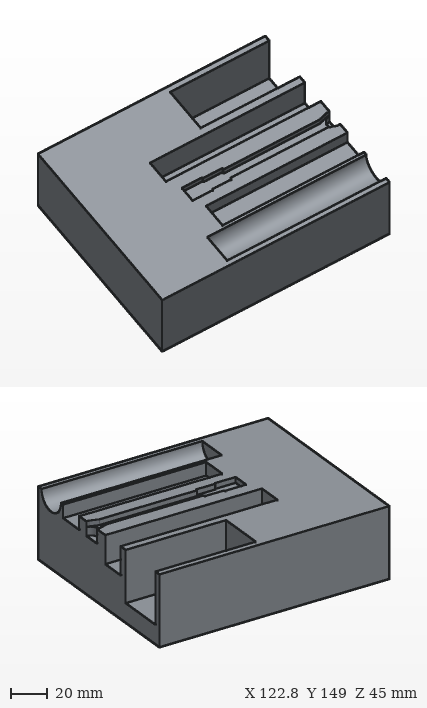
import cadquery as cq

BLOCK_WIDTH = 122.8
BLOCK_LENGTH = 149
BLOCK_HEIGHT = 45.0

WIDE_SLOT = (4.0, 30.1, 65.0, 32.8)
NARROW_SLOT = (39.2, 15.6, 101.5, 17.9)
SHALLOW_SLOT = (81.2, 16.2, 92.7, 8.3)

TROUGH_CENTER_X = 109.5
TROUGH_RADIUS = 9.8
TROUGH_LENGTH = 104.1

TOOL_CENTER_X = 68.7
TOOL_DEPTH = 3.6
SHANK_WIDTH = 7.0
COLLAR_WIDTH = 9.2
HANDLE_WIDTH = 10.6
COLLAR_START = 70.6
HANDLE_START = 83.3
TOOL_LENGTH = 96.7
FLARE_START = 1.8
FLARE_END = 7.5

HEAD_LENGTH = 4.8
HEAD_DEPTH = 9


def slot(left, width, length, depth):
    """Rectangular cutter, open at the back and top faces."""
    return cq.Workplane("XY").box(width, length, depth, centered=False).translate((left, -length, -depth))


def trough():
    """Cylindrical cutter with its axis on the top face."""
    return (
        cq.Workplane("XZ")
        .center(TROUGH_CENTER_X, 0)
        .circle(TROUGH_RADIUS)
        .extrude(TROUGH_LENGTH)
    )


def tool_slot():
    """Flared entry, straight shank, collar and handle, symmetric about the slot centre."""
    half_profile = [
        (HANDLE_WIDTH / 2, 0),
        (HANDLE_WIDTH / 2, -FLARE_START),
        (SHANK_WIDTH / 2, -FLARE_END),
        (SHANK_WIDTH / 2, -COLLAR_START),
        (COLLAR_WIDTH / 2, -COLLAR_START),
        (COLLAR_WIDTH / 2, -HANDLE_START),
        (HANDLE_WIDTH / 2, -HANDLE_START),
        (HANDLE_WIDTH / 2, -TOOL_LENGTH),
    ]
    mirrored = [(-x, y) for x, y in reversed(half_profile)]
    return (
        cq.Workplane("XY")
        .center(TOOL_CENTER_X, 0)
        .polyline(half_profile + mirrored)
        .close()
        .extrude(-TOOL_DEPTH)
    )


def head_pocket():
    """Near half-round cutter at the open end of the tool slot."""
    half_width = HANDLE_WIDTH / 2
    return (
        cq.Workplane("XY")
        .center(TOOL_CENTER_X, 0)
        .moveTo(-half_width, 0)
        .threePointArc((0, -HEAD_LENGTH), (half_width, 0))
        .close()
        .extrude(-HEAD_DEPTH)
    )


result = cq.Workplane("XY").box(BLOCK_WIDTH, BLOCK_LENGTH, BLOCK_HEIGHT, centered=False)
result = result.translate((0, -BLOCK_LENGTH, -BLOCK_HEIGHT))
for dimensions in (WIDE_SLOT, NARROW_SLOT, SHALLOW_SLOT):
    result = result.cut(slot(*dimensions))
for cutter in (trough(), tool_slot(), head_pocket()):
    result = result.cut(cutter)